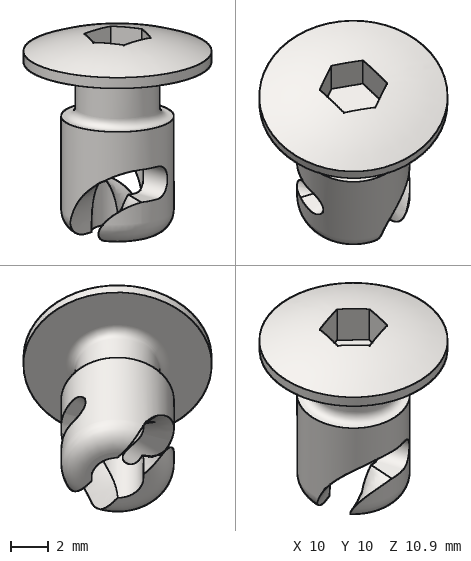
import cadquery as cq
import math

overall_height = 10.87
head_radius = 5.0
head_underside = 9.39
head_rim_top = 9.99

socket_corner_radius = 1.8
socket_flat_corner_angle = 33.5
socket_tilt = 19.5
socket_floor = 8.77

neck_radius = 2.25
neck_fillet = 0.5
body_radius = 3.0
body_top = 6.39
body_bottom_fillet = 1.25

slot_width = 1.8
slot_end_height = 3.32
slot_bend_radius = 3.59
slot_end_turn = 19.5
bend_points = 9
slot_inner_reach = 0.87
slot_outer_reach = 3.7

bore_radius = 1.38
bore_depth = 4.89


def make_shank_and_head():
    """Revolve the domed head, the filleted neck and the round-ended body."""
    crest_radius = socket_corner_radius * math.cos(math.radians(socket_flat_corner_angle))
    dome_drop = overall_height - head_rim_top
    centre_z = (crest_radius**2 + overall_height**2 - head_radius**2 - head_rim_top**2) / (2 * dome_drop)
    dome_radius = math.hypot(head_radius, head_rim_top - centre_z)
    dome_apex = centre_z + dome_radius
    mid_radius = head_radius / 2
    dome_mid = centre_z + math.sqrt(dome_radius**2 - mid_radius**2)

    diagonal = math.sqrt(0.5)
    fillet_outer = neck_radius + neck_fillet
    fillet_mid = fillet_outer - neck_fillet * diagonal
    upper_centre = head_underside - neck_fillet
    lower_centre = body_top + neck_fillet
    bottom_flat = body_radius - body_bottom_fillet
    return (
        cq.Workplane("XZ")
        .lineTo(bottom_flat, 0)
        .threePointArc(
            (bottom_flat + body_bottom_fillet * diagonal, body_bottom_fillet * (1 - diagonal)),
            (body_radius, body_bottom_fillet),
        )
        .lineTo(body_radius, body_top)
        .lineTo(fillet_outer, body_top)
        .threePointArc((fillet_mid, lower_centre - neck_fillet * diagonal), (neck_radius, lower_centre))
        .lineTo(neck_radius, upper_centre)
        .threePointArc((fillet_mid, upper_centre + neck_fillet * diagonal), (fillet_outer, head_underside))
        .lineTo(head_radius, head_underside)
        .lineTo(head_radius, head_rim_top)
        .threePointArc((mid_radius, dome_mid), (0, dome_apex))
        .close()
        .revolve(360, (0, 0, 0), (0, 1, 0))
    )


def make_socket():
    """Blind six-sided socket entering through the dome."""
    half = socket_flat_corner_angle
    corner_angles = [socket_tilt + a for a in (-half, half, 90, 180 - half, 180 + half, 270)]
    corners = [
        (
            socket_corner_radius * math.cos(math.radians(a)),
            socket_corner_radius * math.sin(math.radians(a)),
        )
        for a in corner_angles
    ]
    return cq.Workplane("XY").workplane(offset=socket_floor).polyline(corners).close().extrude(overall_height)


def bend_edge(reach, side):
    """Edge of the bend at a given reach from the axis; side is 1 above the slot and -1 below it."""
    points = []
    for index in range(bend_points):
        bend = math.pi / 2 * index / (bend_points - 1)
        turn = -slot_bend_radius * math.cos(bend) / body_radius
        height = slot_end_height - slot_bend_radius * (1 - math.sin(bend))
        sideways = -side * slot_width / 2 * math.cos(bend)
        upward = side * slot_width / 2 * math.sin(bend)
        points.append(
            cq.Vector(
                reach * math.cos(turn) - sideways * math.sin(turn),
                reach * math.sin(turn) + sideways * math.cos(turn),
                height + upward,
            )
        )
    return cq.Edge.makeSpline(points)


def make_slot_bend():
    """Quarter bend that rises from the lower end of the body, closed by ruled walls."""
    corners = [
        bend_edge(slot_inner_reach, 1),
        bend_edge(slot_outer_reach, 1),
        bend_edge(slot_outer_reach, -1),
        bend_edge(slot_inner_reach, -1),
    ]
    faces = [cq.Face.makeRuledSurface(corners[i - 1], corners[i]) for i in range(len(corners))]
    for end_of_bend in (0, 1):
        ends = [corner.positionAt(end_of_bend) for corner in corners]
        faces.append(cq.Face.makeFromWires(cq.Wire.makePolygon(ends, close=True)))
    return cq.Workplane(obj=cq.Solid.makeSolid(cq.Shell.makeShell(faces)).fix())


def make_slot_run():
    """Level run beyond the bend, finished with a round end."""
    length = slot_outer_reach - slot_inner_reach
    run = (
        cq.Workplane("XZ")
        .moveTo((slot_inner_reach + slot_outer_reach) / 2, slot_end_height)
        .rect(length, slot_width)
        .revolve(slot_end_turn, (0, 0, 0), (0, 1, 0))
    )
    round_end = (
        cq.Workplane("YZ")
        .workplane(offset=slot_inner_reach)
        .center(0, slot_end_height)
        .circle(slot_width / 2)
        .extrude(length)
        .rotate((0, 0, 0), (0, 0, 1), slot_end_turn)
    )
    return run, round_end


def cut_slots(body):
    """Cut two identical slots on opposite sides of the body."""
    for side in (0, 180):
        for cutter in (make_slot_bend(), *make_slot_run()):
            body = body.cut(cutter.rotate((0, 0, 0), (0, 0, 1), side))
    return body


bore = cq.Workplane("XY").circle(bore_radius).extrude(bore_depth)
result = cut_slots(make_shank_and_head().cut(make_socket()).cut(bore))